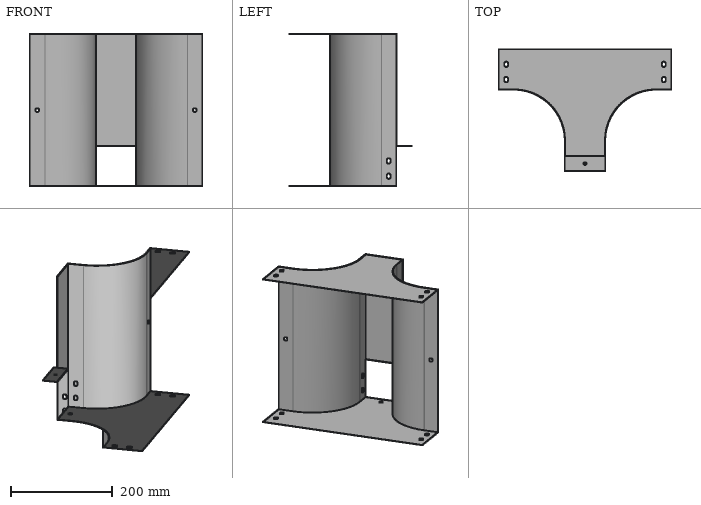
import cadquery as cq

length = 340.0
height = 300.0
depth = 240.0
channel = 80.0
tail = 30.0
sheet = 1.0

slot_width = 7.0
slot_length = 10.2
slot_pitch = 30.0
side_slot_rise = 20.0
wall_hole = 7.0
flange_hole = 5.0
flange_height = 80.0

half_length = length / 2
half_channel = channel / 2
stem_front = tail
arm_front = depth - channel
bend_radius = half_length - half_channel - tail
arm_hole_x = half_length - tail / 2
stem_hole_y = stem_front + tail / 2


def tee_profile(inset):
    """Tee outline with its concave sides moved inward by the inset."""
    stem_x = half_channel - inset
    arm_y = arm_front + inset
    bend_x = half_channel + bend_radius
    bend_y = arm_front - bend_radius
    radius = bend_radius + inset
    diagonal = radius * 0.5 ** 0.5
    return (
        cq.Workplane("XY")
        .moveTo(-half_length, depth)
        .lineTo(-half_length, arm_y)
        .lineTo(-bend_x, arm_y)
        .threePointArc((-bend_x + diagonal, bend_y + diagonal), (-stem_x, bend_y))
        .lineTo(-stem_x, stem_front)
        .lineTo(stem_x, stem_front)
        .lineTo(stem_x, bend_y)
        .threePointArc((bend_x - diagonal, bend_y + diagonal), (bend_x, arm_y))
        .lineTo(half_length, arm_y)
        .lineTo(half_length, depth)
        .close()
    )


def box(size, corner):
    """Box of the given size with its lowest corner at the given point."""
    return cq.Workplane("XY").box(*size, centered=False).translate(corner)


shell = tee_profile(0).extrude(height)
cavity = tee_profile(sheet).extrude(height - 2 * sheet).translate((0, 0, sheet))
body = shell.cut(cavity)

flange_base = flange_height - sheet
panel = box((channel, sheet, height - flange_base), (-half_channel, stem_front - sheet, flange_base))
flange = box((channel, stem_front, sheet), (-half_channel, 0, flange_base))
body = body.union(panel).union(flange)

arm_slots = (
    cq.Workplane("XY")
    .pushPoints([(side * arm_hole_x, depth - row * slot_pitch) for side in (-1, 1) for row in (1, 2)])
    .slot2D(slot_length, slot_width, 90)
    .extrude(height)
)

stem_slots = (
    cq.Workplane("YZ")
    .pushPoints([(stem_hole_y, side_slot_rise + row * slot_pitch) for row in (0, 1)])
    .slot2D(slot_length, slot_width, 90)
    .extrude(half_channel, both=True)
)

wall_holes = (
    cq.Workplane("XZ", origin=(0, arm_front + sheet, 0))
    .pushPoints([(side * arm_hole_x, height / 2) for side in (-1, 1)])
    .circle(wall_hole / 2)
    .extrude(sheet)
)

flange_cut = (
    cq.Workplane("XY", origin=(0, stem_front / 2, flange_base))
    .circle(flange_hole / 2)
    .extrude(sheet)
)
base_cut = cq.Workplane("XY", origin=(0, stem_hole_y, 0)).circle(wall_hole / 2).extrude(sheet)

result = body.cut(arm_slots).cut(stem_slots).cut(wall_holes).cut(flange_cut).cut(base_cut)